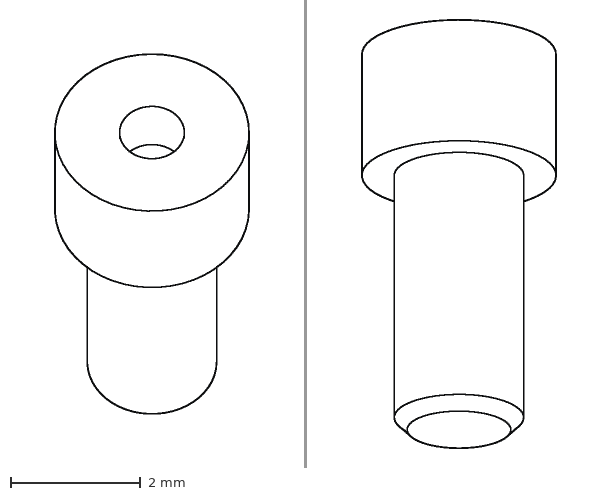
import cadquery as cq
import math

head_diameter = 3.0
head_height = 2.0
shank_diameter = 2.0
shank_length = 4.2
tip_chamfer = 0.2
hole_diameter = 1.0
hole_depth = 1.0
hole_point_angle = 118.0

head_radius = head_diameter / 2
shank_radius = shank_diameter / 2
hole_radius = hole_diameter / 2
cone_depth = hole_radius / math.tan(math.radians(hole_point_angle / 2))
tip_z = -shank_length
hole_floor_z = head_height - hole_depth


def make_screw():
    """Revolve the half section, radius against Z, around the Z axis."""
    half_section = (
        cq.Workplane("XZ")
        .moveTo(0, tip_z)
        .lineTo(shank_radius - tip_chamfer, tip_z)
        .lineTo(shank_radius, tip_z + tip_chamfer)
        .lineTo(shank_radius, 0)
        .lineTo(head_radius, 0)
        .lineTo(head_radius, head_height)
        .lineTo(hole_radius, head_height)
        .lineTo(hole_radius, hole_floor_z)
        .lineTo(0, hole_floor_z - cone_depth)
        .close()
    )
    return half_section.revolve(360, (0, 0, 0), (0, 1, 0))


result = make_screw()